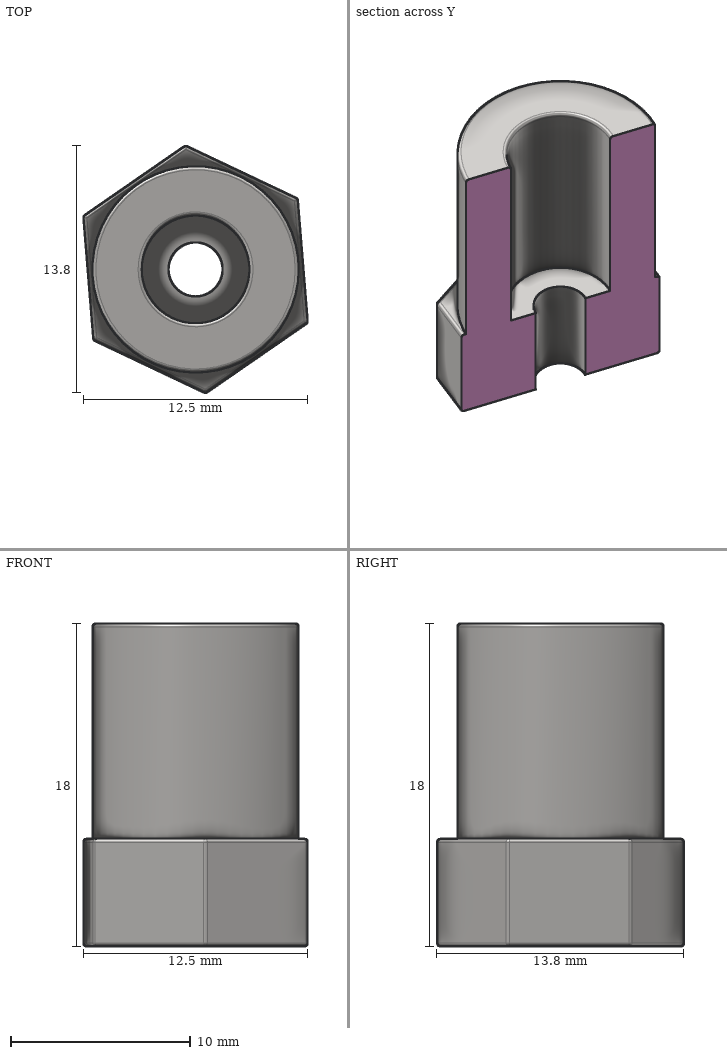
import cadquery as cq
import math

hex_sides = 6
hex_across_flats = 12.0
hex_height = 6.0
hex_corner_angle = 94.65

shank_diameter = 11.5
total_height = 18.0
shank_height = total_height - hex_height

through_hole_diameter = 3.0
bore_diameter = 6.0
bore_depth = shank_height

edge_radius = 0.2


def make_hex_head():
    across_corners = hex_across_flats / math.cos(math.pi / hex_sides)
    head = (
        cq.Workplane("XY")
        .polygon(hex_sides, across_corners)
        .extrude(hex_height)
        .rotate((0, 0, 0), (0, 0, 1), hex_corner_angle)
    )
    return head.edges().fillet(edge_radius)


def make_shank():
    head_top = cq.Workplane("XY").workplane(offset=hex_height)
    return head_top.circle(shank_diameter / 2).extrude(shank_height)


def cut_stepped_bore(body):
    top_face = body.faces(">Z").workplane()
    return top_face.cboreHole(through_hole_diameter, bore_diameter, bore_depth)


def round_top_rims(body):
    return body.faces(">Z").edges().fillet(edge_radius)


blank = make_hex_head().union(make_shank())
bored = cut_stepped_bore(blank)
result = round_top_rims(bored)